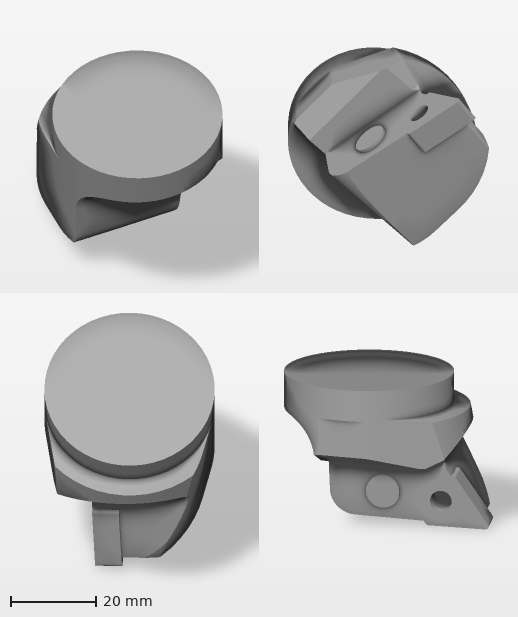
import cadquery as cq
import math

shank_radius = 20.0
stock_bottom = -39.9
reach = 74.8

shoulder_z = -7.25
rim_radius = 23.9
rim_z = -8.0
nose_flare = 10.5
flank_angle = 25.0
flat_end_x = -8.05
flank_radius = 26.7

wall_x = 7.0
relief_z = -8.5
relief_slope = 4.0
relief_radius = 9.25
heel_radius = 6.0
heel_z = -33.3
heel_slope = 3.0
heel_top_z = -22.45
back_y = 19.1
back_top_z = -7.5

insert_side = 15.45
insert_angle = 55.0
insert_thickness = 6.35
insert_corner_radius = 0.8
insert_hole_diameter = 5.15
tip = (-30.55, 0.0, -36.05)
rake_normal = cq.Vector(-0.18, 1.0, -0.12)
insert_rise = 0.055

seat_overhang = 0.75
sole_height = 0.7
sole_slope = 1.15
seat_chamfer_height = 1.4
seat_chamfer_run = 1.0
flute_radius = 5.0
flute_center_height = 16.55
flute_roof_angle = 135.0

pocket_roof_z = -19.1
pocket_step_x = -18.95
pocket_roof_slope = 27.0
pocket_bevel_y = 13.95
pocket_bevel_z = -16.45
pocket_root_radius = 1.5

boss_diameter = 8.0
boss_height = 1.0
boss_rise = 8.0


def cosd(angle):
    return math.cos(math.radians(angle))


def sind(angle):
    return math.sin(math.radians(angle))


def tand(angle):
    return math.tan(math.radians(angle))


def make_rake_plane():
    """Rake plane: local X along the lower insert edge, local Z into the tool."""
    into_tool = rake_normal.normalized() * -1
    lower_edge = cq.Vector(1, 0, insert_rise)
    lower_edge = lower_edge - into_tool * lower_edge.dot(into_tool)
    return cq.Plane(origin=tip, xDir=lower_edge, normal=into_tool)


rake_plane = make_rake_plane()
edge_run = insert_side * cosd(insert_angle)
edge_rise = insert_side * sind(insert_angle)


def make_insert_blank():
    outline = [(0, 0), (insert_side, 0), (insert_side + edge_run, edge_rise), (edge_run, edge_rise)]
    blank = cq.Workplane(rake_plane).polyline(outline).close().extrude(insert_thickness)
    return blank.edges(cq.selectors.ParallelDirSelector(rake_plane.zDir)).fillet(insert_corner_radius)


def make_insert():
    center = ((insert_side + edge_run) / 2, edge_rise / 2)
    bore = (
        cq.Workplane(rake_plane).center(*center)
        .circle(insert_hole_diameter / 2).extrude(insert_thickness)
    )
    return make_insert_blank().cut(bore)


def make_nose():
    left_x = flat_end_x - flank_radius
    flank_center_y = flank_radius - shank_radius
    tangent_x = -shank_radius * sind(flank_angle)
    tangent_y = shank_radius * cosd(flank_angle)
    flank_left_y = tangent_y + (left_x - tangent_x) * tand(flank_angle)
    arc_middle = (
        flat_end_x - flank_radius * sind(45),
        flank_center_y - flank_radius * cosd(45),
    )
    plan = (
        cq.Workplane("XY")
        .moveTo(0, -shank_radius)
        .lineTo(flat_end_x, -shank_radius)
        .threePointArc(arc_middle, (left_x, flank_center_y))
        .lineTo(left_x, flank_left_y)
        .lineTo(tangent_x, tangent_y)
        .lineTo(0, 0)
        .close()
        .extrude(stock_bottom)
    )
    base_radius = rim_radius + (rim_z - stock_bottom) * tand(nose_flare)
    cone = (
        cq.Workplane("XZ")
        .polyline([(0, shoulder_z), (shank_radius, shoulder_z), (rim_radius, rim_z),
                   (base_radius, stock_bottom), (0, stock_bottom)])
        .close()
        .revolve(360, (0, 0, 0), (0, 1, 0))
    )
    return plan.intersect(cone)


def along_y(points):
    """Prism with the given XZ outline, passing through the whole part along Y."""
    return cq.Workplane("XZ").polyline(points).close().extrude(reach, both=True)


def make_relief():
    corner_z = relief_z - (shank_radius - wall_x) * tand(relief_slope)
    far_z = corner_z + (reach - wall_x) * tand(relief_slope)
    cutter = along_y([(wall_x, -reach), (wall_x, corner_z), (reach, far_z), (reach, -reach)])
    return cutter.edges(cq.selectors.NearestToPointSelector((wall_x, 0, corner_z))).fillet(relief_radius)


def make_back_relief():
    return cq.Workplane("XY").box(reach, reach, reach, centered=(True, False, False)).translate(
        (0, back_y, back_top_z - reach)
    )


def make_sole_cutter():
    rise = reach * tand(sole_slope)
    outline = [(-reach, sole_height - rise), (reach, sole_height + rise), (reach, -reach), (-reach, -reach)]
    return cq.Workplane(rake_plane).polyline(outline).close().extrude(reach, both=True)


def make_heel_limit():
    """Space the stem may fill: a round along Y at the foot of the relief wall."""
    left_z = heel_z - reach * tand(heel_slope)
    stem = along_y([(wall_x, 0), (wall_x, heel_z), (wall_x - reach, left_z), (wall_x - reach, 0)])
    stem = stem.faces(">X").edges("<Z").fillet(heel_radius)
    upper = cq.Workplane("XY").workplane(offset=heel_top_z).rect(2 * reach, 2 * reach).extrude(reach)
    return stem.union(upper)


def make_seat_chamfer():
    top_height = sole_height + seat_chamfer_height
    top_x = seat_overhang / sind(insert_angle) + top_height / tand(insert_angle)
    slope = seat_chamfer_height / seat_chamfer_run
    outline = [
        (top_x - reach, top_height + reach * slope),
        (top_x + reach, top_height - reach * slope),
        (-reach, -reach * slope),
    ]
    return cq.Workplane(rake_plane).polyline(outline).close().extrude(reach, both=True)


def make_flute_cutter():
    """Space in front of the slanted seat face, the flute round and its upper face."""
    seat_normal = insert_angle - 90
    foot_x = seat_overhang / sind(insert_angle)
    tangent_height = flute_center_height + flute_radius * sind(seat_normal)
    tangent_x = foot_x + tangent_height / tand(insert_angle)
    center_x = tangent_x - flute_radius * cosd(seat_normal)

    def on_round(angle):
        return (center_x + flute_radius * cosd(angle), flute_center_height + flute_radius * sind(angle))

    roof_normal = flute_roof_angle - 90
    roof_start = on_round(roof_normal)
    roof_end = (
        roof_start[0] + reach * cosd(flute_roof_angle),
        roof_start[1] + reach * sind(flute_roof_angle),
    )
    seat_end = (foot_x - reach * cosd(insert_angle), -reach * sind(insert_angle))
    return (
        cq.Workplane(rake_plane)
        .moveTo(*seat_end)
        .lineTo(tangent_x, tangent_height)
        .threePointArc(on_round((seat_normal + roof_normal) / 2), roof_start)
        .lineTo(*roof_end)
        .close()
        .extrude(reach, both=True)
    )


def make_chip_pocket():
    in_front_of_rake = cq.Workplane(rake_plane).rect(2 * reach, 2 * reach).extrude(-reach)
    roof = along_y([
        (-reach, -reach),
        (-reach, pocket_roof_z + (pocket_step_x + reach) * tand(pocket_roof_slope)),
        (pocket_step_x, pocket_roof_z),
        (reach, pocket_roof_z),
        (reach, -reach),
    ])
    bevel_slope = (pocket_bevel_z - pocket_roof_z) / (back_y - pocket_bevel_y)
    bevel_end_z = pocket_roof_z + (reach - pocket_bevel_y) * bevel_slope
    bevel = (
        cq.Workplane("YZ")
        .polyline([(pocket_bevel_y, pocket_roof_z), (reach, bevel_end_z), (reach, pocket_roof_z)])
        .close()
        .extrude(reach, both=True)
    )
    return in_front_of_rake.intersect(roof.union(bevel)).edges(
        cq.selectors.NearestToPointSelector((2 * pocket_step_x, 0, 0))
    ).fillet(pocket_root_radius)


def make_boss():
    """Round clamp boss that touches the insert's inner side."""
    center_x = insert_side + boss_rise / tand(insert_angle) + boss_diameter / 2 / sind(insert_angle)
    return (
        cq.Workplane(rake_plane).center(center_x, boss_rise)
        .circle(boss_diameter / 2).extrude(-boss_height)
    )


def make_holder():
    body = cq.Workplane("XY").circle(shank_radius).extrude(stock_bottom).union(make_nose())
    body = body.cut(make_relief())
    body = body.cut(make_back_relief())
    body = body.intersect(make_heel_limit())
    body = body.cut(make_sole_cutter())
    body = body.cut(make_flute_cutter())
    body = body.cut(make_seat_chamfer())
    body = body.cut(make_chip_pocket())
    body = body.union(make_boss())
    return body.cut(make_insert_blank())


holder = make_holder()
insert = make_insert()
result = cq.Compound.makeCompound([holder.solids().val(), insert.solids().val()])